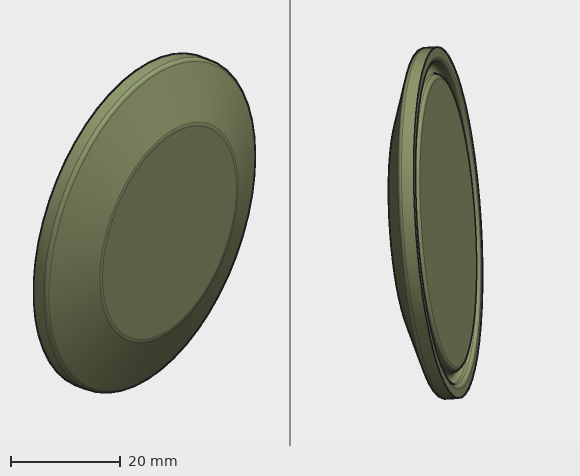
import cadquery as cq
import math

rim_radius = 32.0
thickness = 7.0
cone_start = 3.1
cone_angle = 20.0
rim_round = 0.8
back_round = 1.9

groove_radius = 28.3
groove_half_width = 2.0
groove_lip_round = 0.9
groove_depth = 1.7
wall_angle = math.radians(70.0)


def make_disc():
    """Thick rim, rounded into a shallow cone that ends in a flat back."""
    slope = math.radians(cone_angle)
    turn = math.pi / 2 - slope
    round_inset = rim_round * (1 - math.cos(turn))
    round_length = rim_round * math.sin(turn)
    round_start = cone_start - round_length
    cone_radius = rim_radius - round_inset
    back_radius = cone_radius - (thickness - cone_start) / math.tan(slope)
    mid_point = (
        round_start + rim_round * math.sin(turn / 2),
        rim_radius - rim_round * (1 - math.cos(turn / 2)),
    )
    profile = (
        cq.Workplane("XY")
        .moveTo(0, 0)
        .lineTo(0, rim_radius)
        .lineTo(round_start, rim_radius)
        .threePointArc(mid_point, (cone_start, cone_radius))
        .lineTo(thickness, back_radius)
        .lineTo(thickness, 0)
        .close()
    )
    disc = profile.revolve(360, (0, 0, 0), (1, 0, 0))
    return disc.faces(">X").edges().fillet(back_round)


def make_groove():
    """Ring with rounded lips, steep straight walls and a round bottom."""
    lip_width = groove_lip_round * math.sin(wall_angle)
    lip_depth = groove_lip_round * (1 - math.cos(wall_angle))
    upper_half_width = groove_half_width - lip_width

    wall_run = (groove_depth - lip_depth) / math.tan(wall_angle)
    bottom_radius = (upper_half_width - wall_run) / math.tan(wall_angle / 2)
    bottom_half_width = bottom_radius * math.sin(wall_angle)
    bottom_start = groove_depth - bottom_radius * (1 - math.cos(wall_angle))

    lip_mid_depth = groove_lip_round * (1 - math.cos(wall_angle / 2))
    lip_mid_offset = groove_half_width - groove_lip_round * math.sin(wall_angle / 2)

    profile = (
        cq.Workplane("XY")
        .moveTo(0, groove_radius + groove_half_width)
        .threePointArc(
            (lip_mid_depth, groove_radius + lip_mid_offset),
            (lip_depth, groove_radius + upper_half_width),
        )
        .lineTo(bottom_start, groove_radius + bottom_half_width)
        .threePointArc(
            (groove_depth, groove_radius),
            (bottom_start, groove_radius - bottom_half_width),
        )
        .lineTo(lip_depth, groove_radius - upper_half_width)
        .threePointArc(
            (lip_mid_depth, groove_radius - lip_mid_offset),
            (0, groove_radius - groove_half_width),
        )
        .close()
    )
    return profile.revolve(360, (0, 0, 0), (1, 0, 0))


result = make_disc().cut(make_groove())